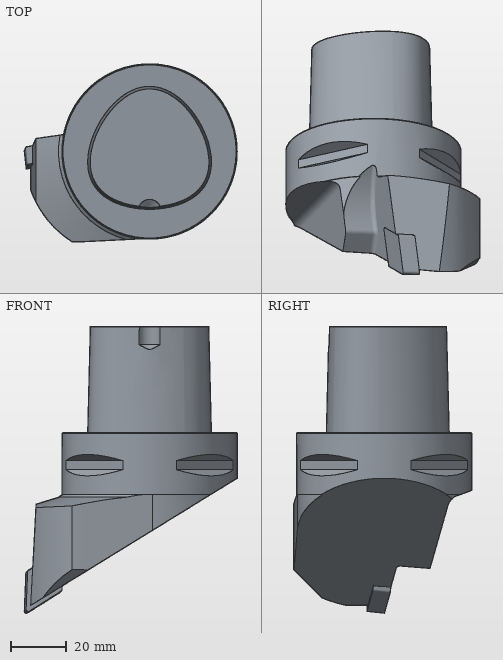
import cadquery as cq
import math


shank_height = 38.0
shank_radius = 22.1
lobe_height = 1.3
lobe_half_angle = 28.5
arc_steps = 12
shank_taper = 1 / 40
key_diameter = 8.0
key_center_y = -21.2
key_depth = 6.5
key_point_height = 2.4

flange_radius = 31.5
flange_height = 22.4
flange_chamfer = 0.4
groove_z = -11.8
groove_floor_distance = 28.0
groove_floor_width = 3.2
groove_flank_slope = 0.64
groove_angles = (45, 135, 225, 315)

neck_radius = 31.2
tip_x = -45.0
tip_z = -65.0
side_y = -32.5
side_flat_start_x = -27.8
side_flat_end_x = -25.4
side_blend_end_x = -24.3
side_tangent_x = 1.1
outline_mid = (-36.4, -24.9)
outline_end = (-43.6, -11.0)
shoulder_slope = 0.31
shoulder_radius = 32.7
shoulder_z = -23.3
end_face_x = -40.8
end_face_z = -26.0
end_face_lean = 3.0
under_x = 31.5
under_z = -16.5
under_angle = 31.6
relief_z = -49.3
reach = 120.0

rake_tilt = math.tan(math.radians(6.2))
back_offset = 12.0
back_fillet = 4.0
back_floor_rim_z = -20.7
back_floor_slope = 0.29
pocket_top = (15.2, 47.2)
pocket_exit = (5.2, 65.7)
pocket_mid = (19.3, 38.5)
pocket_corner = (20.6, 23.3)
pocket_bottom = (42.2, -2.7)
pocket_floor_fillet = 1.5
pocket_edge_radius = 2.0

insert_edge = 15.5
insert_thickness = 6.35
insert_corner_angle = 55.0
insert_nose_radius = 0.8

RAKE_NORMAL = cq.Vector(-rake_tilt, 1, -rake_tilt).normalized()


def rake_plane(offset=0.0):
    """Plane parallel to the rake face; local x runs along X and local y along Z."""
    origin = cq.Vector(tip_x, 0, tip_z) + RAKE_NORMAL * offset
    return cq.Plane(origin=origin.toTuple(), xDir=(1, rake_tilt, 0), normal=(-RAKE_NORMAL).toTuple())


def shank_section(z):
    """Three-lobed outline at height z: a lobe arc and a flank arc in each third."""
    radius = shank_radius - shank_taper * z

    def point(degrees):
        angle = math.radians(degrees)
        x = -radius * math.sin(angle) + lobe_height * math.sin(2 * angle)
        y = radius * math.cos(angle) + lobe_height * math.cos(2 * angle)
        return (x, y, z)

    edges = []
    for lobe in (0, 120, 240):
        bounds = (lobe - lobe_half_angle, lobe + lobe_half_angle, lobe + 120 - lobe_half_angle)
        for start, end in zip(bounds, bounds[1:]):
            steps = [start + (end - start) * i / arc_steps for i in range(arc_steps + 1)]
            edges.append(cq.Edge.makeSpline([cq.Vector(point(degrees)) for degrees in steps]))
    return cq.Wire.assembleEdges(edges)


def make_shank():
    """Tapered polygon shank with a drilled keyway at its top."""
    sections = [shank_section(0), shank_section(shank_height)]
    shank = cq.Workplane(cq.Solid.makeLoft(sections, True))
    key_bottom = shank_height - key_depth
    key = (
        cq.Workplane("XZ")
        .moveTo(0, key_bottom - key_point_height)
        .lineTo(key_diameter / 2, key_bottom)
        .lineTo(key_diameter / 2, shank_height)
        .lineTo(0, shank_height)
        .close()
        .revolve(360, (0, 0, 0), (0, 1, 0))
        .translate((0, key_center_y, 0))
    )
    return shank.cut(key)


def make_flange():
    """Disc with four flat-bottomed gripper grooves."""
    flange = cq.Workplane("XY").circle(flange_radius).extrude(-flange_height)
    flange = flange.faces(">Z").edges().chamfer(flange_chamfer)
    depth = flange_radius - groove_floor_distance
    floor_half = groove_floor_width / 2
    rim_half = floor_half + groove_flank_slope * depth
    groove = (
        cq.Workplane("XZ")
        .polyline([
            (groove_floor_distance, groove_z - floor_half),
            (flange_radius, groove_z - rim_half),
            (flange_radius, groove_z + rim_half),
            (groove_floor_distance, groove_z + floor_half),
        ])
        .close()
        .extrude(flange_radius, both=True)
    )
    for angle in groove_angles:
        flange = flange.cut(groove.rotate((0, 0, 0), (0, 0, 1), angle))
    return flange


def make_head():
    """Round neck with an offset arm that reaches out to the insert."""
    height = -tip_z - flange_height
    neck = cq.Workplane("XY", origin=(0, 0, -flange_height)).circle(neck_radius).extrude(-height)
    side_corner_x = (side_flat_end_x + side_blend_end_x) / 2
    side_slope = (-neck_radius - side_y) / (side_tangent_x - side_corner_x)
    side_blend_end_y = side_y + side_slope * (side_blend_end_x - side_corner_x)
    arm = (
        cq.Workplane("XY", origin=(0, 0, -flange_height))
        .moveTo(side_tangent_x, -neck_radius)
        .lineTo(side_blend_end_x, side_blend_end_y)
        .tangentArcPoint((side_flat_end_x, side_y), relative=False)
        .lineTo(side_flat_start_x, side_y)
        .threePointArc(outline_mid, outline_end)
        .lineTo(outline_end[0], back_offset)
        .lineTo(side_tangent_x, back_offset)
        .close()
        .extrude(-height)
    )
    arm_reach = 2 * neck_radius
    shoulder = (
        cq.Workplane("XZ")
        .moveTo(flange_radius, -flange_height)
        .lineTo(shoulder_radius, shoulder_z)
        .lineTo(arm_reach, shoulder_z - shoulder_slope * (arm_reach - shoulder_radius))
        .lineTo(arm_reach, -flange_height)
        .close()
        .revolve(360, (0, 0, 0), (0, 1, 0))
    )
    lean = math.tan(math.radians(end_face_lean))
    end_face_top_x = end_face_x - lean * end_face_z
    end_waste = (
        cq.Workplane("XZ")
        .polyline([
            (end_face_top_x, 0),
            (end_face_top_x - lean * reach, -reach),
            (-reach, -reach),
            (-reach, 0),
        ])
        .close()
        .extrude(reach, both=True)
    )
    relief = (
        cq.Workplane("YZ")
        .polyline([
            (side_y, relief_z),
            (side_y - reach, relief_z + reach),
            (side_y - reach, relief_z - reach),
            (side_y + reach, relief_z - reach),
        ])
        .close()
        .extrude(reach, both=True)
    )
    return neck.union(arm.cut(shoulder).cut(end_waste)).cut(relief)


def make_underside_waste():
    drop = math.tan(math.radians(under_angle))
    return (
        cq.Workplane("XZ")
        .polyline([
            (under_x + reach, under_z + reach * drop),
            (under_x - reach, under_z - reach * drop),
            (under_x + reach, under_z - reach * drop),
        ])
        .close()
        .extrude(reach, both=True)
    )


def make_chip_pocket():
    """Space above the rake face, bounded by a curved wall that runs down to an edge."""
    plane = rake_plane()
    pocket = (
        cq.Workplane(plane)
        .moveTo(*pocket_corner)
        .threePointArc(pocket_mid, pocket_top)
        .lineTo(*pocket_exit)
        .lineTo(-reach, pocket_exit[1])
        .lineTo(-reach, -reach)
        .lineTo(pocket_bottom[0], -reach)
        .lineTo(*pocket_bottom)
        .close()
        .extrude(-reach)
    )
    corner = plane.toWorldCoords((*pocket_corner, -reach / 2)).toTuple()
    pocket = pocket.edges(cq.selectors.NearestToPointSelector(corner)).fillet(pocket_edge_radius)
    wall_foot = plane.toWorldCoords((*pocket_mid, 0)).toTuple()
    return pocket.edges(cq.selectors.NearestToPointSelector(wall_foot)).fillet(pocket_floor_fillet)


def make_back_cut():
    """Milled step behind the head: a wall parallel to the rake plane under a rising floor."""
    step_plane = cq.Plane(
        origin=(0, flange_radius, back_floor_rim_z),
        xDir=(-rake_tilt, 1, 0),
        normal=(1, rake_tilt, 0),
    )
    wall_plane = rake_plane(back_offset)
    wall_low = step_plane.toLocalCoords(wall_plane.origin)
    wall_high = step_plane.toLocalCoords(wall_plane.toWorldCoords((0, -tip_z)))
    wall_lean = (wall_high.x - wall_low.x) / (wall_high.y - wall_low.y)
    corner_x = (wall_low.x - wall_lean * wall_low.y) / (1 - wall_lean * back_floor_slope)
    corner = (corner_x, back_floor_slope * corner_x)
    step = (
        cq.Workplane(step_plane)
        .moveTo(*corner)
        .lineTo(corner[0] - wall_lean * reach, corner[1] - reach)
        .lineTo(corner[0] + reach, corner[1] - reach)
        .lineTo(corner[0] + reach, corner[1] + back_floor_slope * reach)
        .close()
        .extrude(reach, both=True)
    )
    inner_edge = cq.selectors.NearestToPointSelector(step_plane.toWorldCoords(corner).toTuple())
    return step.edges(inner_edge).fillet(back_fillet)


def make_insert():
    """Rhombic insert whose nose circle touches the extreme X and Z of the tool."""
    side_angle = math.radians(90 - end_face_lean)
    corner = math.radians(insert_corner_angle)
    bisector = side_angle - corner / 2
    nose_distance = insert_nose_radius / math.sin(corner / 2)
    start = (
        insert_nose_radius - nose_distance * math.cos(bisector),
        insert_nose_radius - nose_distance * math.sin(bisector),
    )
    side = (insert_edge * math.cos(side_angle), insert_edge * math.sin(side_angle))
    base = (insert_edge * math.cos(side_angle - corner), insert_edge * math.sin(side_angle - corner))
    outline = [
        start,
        (start[0] + base[0], start[1] + base[1]),
        (start[0] + base[0] + side[0], start[1] + base[1] + side[1]),
        (start[0] + side[0], start[1] + side[1]),
    ]
    blank = cq.Workplane(rake_plane()).polyline(outline).close().extrude(insert_thickness)
    return blank.edges(cq.selectors.ParallelDirSelector(RAKE_NORMAL)).fillet(insert_nose_radius)


insert = make_insert()
holder = (
    make_flange()
    .union(make_head())
    .cut(make_underside_waste())
    .cut(make_chip_pocket())
    .cut(make_back_cut())
    .union(make_shank())
    .cut(insert)
)

result = cq.Compound.makeCompound([holder.val(), insert.val()])